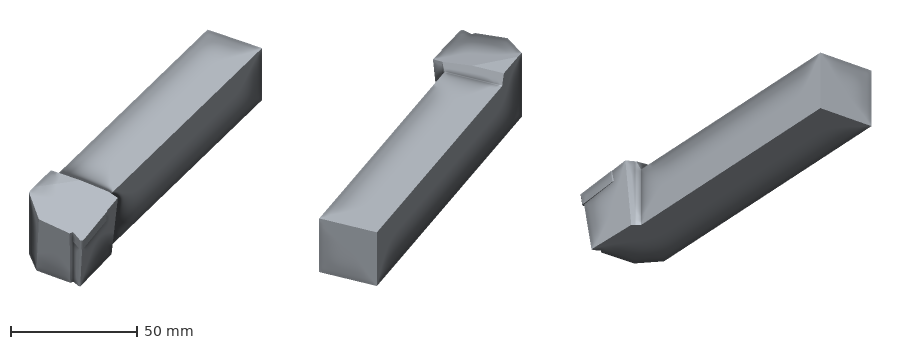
import cadquery as cq
import math

overall_length = 151.0
shank_size = 25.0
step_foot_y = 31.4

head_height = 30.0
step_top_y = 29.7
step_fillet = 0.5
chamfer_y = 12.7
hinge_y = 16.2

head_corners = [
    ((0, step_foot_y), (0, step_foot_y)),
    ((0, chamfer_y), (0, chamfer_y)),
    ((8.5, chamfer_y - 8.5), (11.0, chamfer_y - 11.0)),
    ((24.3, 3.8), (25.5, 1.2)),
    ((25.0, 5.0), (26.5, 2.9)),
    ((28.0, 3.6), (30.5, 1.0)),
    ((29.0, 3.6), (31.5, 1.0)),
    ((28.2, 29.1), (30.8, 29.1)),
    ((26.7, 30.0), (26.7, 30.0)),
    ((shank_size, step_foot_y), (shank_size, step_foot_y)),
]

hinge_angle = 45
tip_x = 32.2
tip_fall = head_height - shank_size
tip_distance = (tip_x + hinge_y) / math.sqrt(2)
top_slope = tip_fall / tip_distance
cutter_size = 151.0

inscribed_radius = 6.3
insert_thickness = 4.8
nose_radius = 0.83
hole_diameter = 5.1
insert_turn = 2.0
insert_x = 25.5
insert_y = 10.1


def top_height(x, y):
    """Height of the tilted top above a point of the base."""
    return head_height - top_slope * (x - y + hinge_y) / math.sqrt(2)


def tilted_plane(x, y):
    """Plane of the tilted top, its local x running along the 45 degree line."""
    fall = top_slope / math.sqrt(2)
    return cq.Plane(origin=(x, y, top_height(x, y)), xDir=(1, 1, 0), normal=(fall, -fall, 1))


def insert_blank():
    """Triangle with rounded corners, without its hole."""
    corner_radius = 2 * inscribed_radius
    corners = []
    for direction in (-60, 60, 180):
        angle = math.radians(direction + insert_turn - hinge_angle)
        corners.append((corner_radius * math.cos(angle), corner_radius * math.sin(angle)))
    blank = cq.Workplane(tilted_plane(insert_x, insert_y)).polyline(corners).close()
    blank = blank.extrude(-insert_thickness)
    nose_edges = cq.selectors.ParallelDirSelector(tilted_plane(insert_x, insert_y).zDir)
    return blank.edges(nose_edges).fillet(nose_radius)


def hole_core():
    """Cylinder that fills the hole of the insert."""
    plane = tilted_plane(insert_x, insert_y)
    return cq.Workplane(plane).circle(hole_diameter / 2).extrude(-insert_thickness)


def head_outline(z):
    """Outline of the drafted flanks at height z."""
    share = z / shank_size
    return [
        (bx + share * (sx - bx), by + share * (sy - by))
        for (bx, by), (sx, sy) in head_corners
    ]


def make_head():
    head = (
        cq.Workplane("XY").polyline(head_outline(0)).close()
        .workplane(offset=head_height).polyline(head_outline(head_height)).close()
        .loft(ruled=True)
    )
    above_top = (
        cq.Workplane(tilted_plane(0, hinge_y))
        .rect(cutter_size, cutter_size).extrude(cutter_size)
    )
    step = (
        cq.Workplane("YZ")
        .polyline([
            (step_foot_y, shank_size),
            (step_top_y, head_height),
            (step_foot_y, head_height),
        ])
        .close().extrude(cutter_size)
    )
    return head.cut(above_top).cut(step)


def make_holder():
    """Shank and head, with a pocket for the insert and a pin through its hole."""
    shank_length = overall_length - step_foot_y
    shank = cq.Workplane("XY").box(shank_size, shank_length, shank_size, centered=False)
    shank = shank.translate((0, step_foot_y, 0))
    pocket = insert_blank().cut(hole_core())
    body = shank.union(make_head())
    foot_point = (shank_size / 2, step_foot_y, shank_size)
    body = body.edges(cq.selectors.NearestToPointSelector(foot_point)).fillet(step_fillet)
    return body.cut(pocket)


def make_insert():
    return insert_blank().cut(hole_core())


holder = make_holder()
insert = make_insert()
result = cq.Compound.makeCompound([holder.val(), insert.val()])